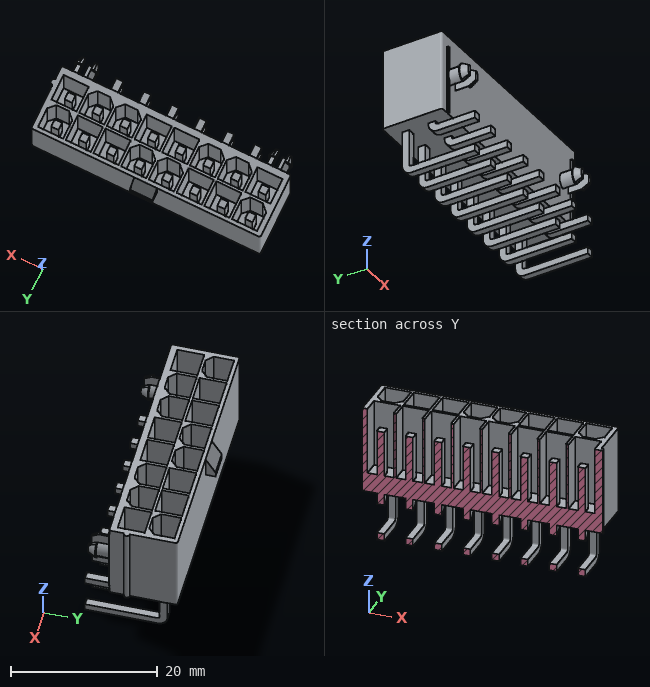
import cadquery as cq


housing_length = 34.78
housing_depth = 9.65
housing_height = 12.8
corner_radius = 0.3
back_y = housing_depth / 2
front_y = -housing_depth / 2

columns = 8
row_span = 29.4
pitch = row_span / (columns - 1)
back_row_inset = 2.5
back_row_y = back_y - back_row_inset
front_row_y = back_row_y - pitch
column_xs = [(i - (columns - 1) / 2) * pitch for i in range(columns)]

cavity_size = 3.8
cavity_depth = 9.85
cavity_floor_z = housing_height - cavity_depth
key_chamfer = 0.95
back_row_keyed_columns = (0, 3, 4, 7)
front_row_keyed_columns = (1, 2, 5, 6)

pin_width = 1.13
pin_recess = 3.17
pin_top_z = housing_height - pin_recess
bend_inner_radius = 0.35
bend_outer_radius = bend_inner_radius + pin_width
tail_projection = 3.95
tail_end_y = front_y - tail_projection
front_tail_bottom_z = -1.7
back_tail_bottom_z = -7.1

latch_width = 3.45
latch_projection = 1.4
latch_height = 3.17
latch_lip = 0.85

rib_width = 0.28
rib_projection = 0.3
rib_height = 10.77
rib_x = 16.1

peg_x = column_xs[-1]
peg_z = 6.2
peg_slot = 1.4
peg_radius = 1.5
shank_length = 2.1
barb_radius = 1.75
barb_height = 2.68
barb_rim = 0.1
tip_radius = 1.25
tip_height = 1.5
tip_length = 1.1

end_rib_radius = 0.42
end_rib_inset = 7.1
end_rib_y = back_y - end_rib_inset


def make_housing():
    """Block with rounded vertical corners."""
    return (
        cq.Workplane("XY")
        .rect(housing_length, housing_depth)
        .extrude(housing_height)
        .edges("|Z")
        .fillet(corner_radius)
    )


def make_cavity(x, y, keyed):
    """Square contact cavity; a keyed one has its two -Y corners chamfered."""
    cavity = (
        cq.Workplane("XY")
        .workplane(offset=cavity_floor_z)
        .center(x, y)
        .rect(cavity_size, cavity_size)
        .extrude(cavity_depth)
    )
    if keyed:
        cavity = cavity.edges("|Z and <Y").chamfer(key_chamfer)
    return cavity


def make_pin(x, row_y, tail_bottom_z):
    """Square pin that drops out of the housing and bends towards -Y."""
    rear_y = row_y + pin_width / 2
    near_y = row_y - pin_width / 2
    tail_top_z = tail_bottom_z + pin_width
    pin = (
        cq.Workplane("YZ")
        .moveTo(rear_y, pin_top_z)
        .lineTo(rear_y, tail_bottom_z + bend_outer_radius)
        .radiusArc((rear_y - bend_outer_radius, tail_bottom_z), bend_outer_radius)
        .lineTo(tail_end_y, tail_bottom_z)
        .lineTo(tail_end_y, tail_top_z)
        .lineTo(near_y - bend_inner_radius, tail_top_z)
        .radiusArc((near_y, tail_top_z + bend_inner_radius), -bend_inner_radius)
        .lineTo(near_y, pin_top_z)
        .close()
        .extrude(pin_width / 2, both=True)
    )
    return pin.translate((x, 0, 0))


def make_latch():
    """Ramp that starts at the mating face and ends in a flat lip."""
    return (
        cq.Workplane("YZ")
        .moveTo(back_y, housing_height)
        .lineTo(back_y + latch_projection, housing_height - latch_height + latch_lip)
        .lineTo(back_y + latch_projection, housing_height - latch_height)
        .lineTo(back_y, housing_height - latch_height)
        .close()
        .extrude(latch_width / 2, both=True)
    )


def make_rib(x):
    """Thin vertical standoff rib rising from the bottom of the front face."""
    return (
        cq.Workplane("XY")
        .center(x, front_y - rib_projection / 2)
        .rect(rib_width, rib_projection)
        .extrude(rib_height)
    )


def make_peg(x):
    """Round peg with a tapered barb, flattened above and below and split by a slot."""
    taper_start = shank_length + barb_rim
    peg_end = taper_start + tip_length
    turned = (
        cq.Workplane("XY")
        .polyline(
            [
                (0, 0),
                (peg_radius, 0),
                (peg_radius, -shank_length),
                (barb_radius, -shank_length),
                (barb_radius, -taper_start),
                (tip_radius, -peg_end),
                (0, -peg_end),
            ]
        )
        .close()
        .revolve(360, (0, 0, 0), (0, 1, 0))
    )
    envelope = (
        cq.Workplane("YZ")
        .polyline(
            [
                (0, barb_height / 2),
                (-taper_start, barb_height / 2),
                (-peg_end, tip_height / 2),
                (-peg_end, -tip_height / 2),
                (-taper_start, -barb_height / 2),
                (0, -barb_height / 2),
            ]
        )
        .close()
        .extrude(barb_radius, both=True)
    )
    slot = cq.Workplane("XY").box(peg_slot, 2 * peg_end, 2 * barb_radius)
    return turned.intersect(envelope).cut(slot).translate((x, front_y, peg_z))


def make_end_rib():
    """Full-height half-round rib on the +X end."""
    return (
        cq.Workplane("XY")
        .center(housing_length / 2, end_rib_y)
        .circle(end_rib_radius)
        .extrude(housing_height)
    )


result = make_housing().union(make_end_rib())

for column, column_x in enumerate(column_xs):
    result = result.cut(make_cavity(column_x, back_row_y, column in back_row_keyed_columns))
    result = result.cut(make_cavity(column_x, front_row_y, column in front_row_keyed_columns))

for column_x in column_xs:
    result = result.union(make_pin(column_x, back_row_y, back_tail_bottom_z))
    result = result.union(make_pin(column_x, front_row_y, front_tail_bottom_z))

result = result.union(make_latch())

for side in (-1, 1):
    result = result.union(make_rib(side * rib_x))
    result = result.union(make_peg(side * peg_x))